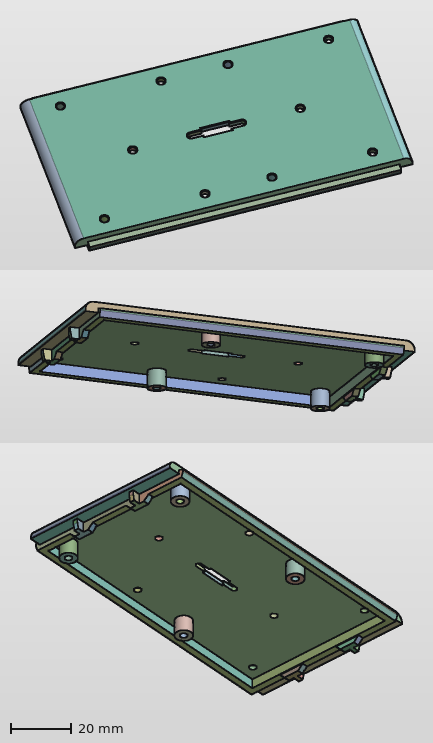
import cadquery as cq

length = 117.2
rail_width = 64.7
total_height = 8.0

plate_top_width = 60.5
plate_bottom_width = 61.2
plate_thickness = 3.7
end_radius = 3.0

rail_length = 108.1
rail_bottom_width = 63.3
rail_shoulder_depth = 2.1
rail_edge_top_depth = 2.7
rail_edge_bottom_depth = 3.4
rail_bottom_depth = 5.6

hump_spacing = 24.5
hump_top_width = 10.0
hump_bottom_width = 5.9
hump_thickness = 2.2
hump_depth = 7.6
tab_width = 1.8
tab_reach = 3.0
tab_tip_reach = 2.6
tab_taper_depth = 5.3

roof_thickness = 2.0
wall_thickness = 2.6

hole_column_x = 24.5
inner_hole_y = 11.6
center_hole_y = 29.0
outer_hole_y = 46.5
hole_diameter = 2.6
boss_diameter = 6.2

slot_length = 19.9
slot_width = 2.1
window_length = 9.6
window_width = 3.5

mouth_chamfer = 0.29


def make_plate():
    half_length = length / 2
    flat_half = half_length - end_radius
    diagonal = end_radius * 0.5 ** 0.5
    end_profile = (
        cq.Workplane("YZ")
        .moveTo(-half_length, -plate_thickness)
        .lineTo(-half_length, -end_radius)
        .threePointArc((-flat_half - diagonal, diagonal - end_radius), (-flat_half, 0))
        .lineTo(flat_half, 0)
        .threePointArc((flat_half + diagonal, diagonal - end_radius), (half_length, -end_radius))
        .lineTo(half_length, -plate_thickness)
        .close()
        .extrude(plate_bottom_width / 2, both=True)
    )
    drafted_sides = (
        cq.Workplane("XZ")
        .polyline([
            (-plate_bottom_width / 2, -plate_thickness),
            (-plate_top_width / 2, 0),
            (plate_top_width / 2, 0),
            (plate_bottom_width / 2, -plate_thickness),
        ])
        .close()
        .extrude(half_length, both=True)
    )
    return end_profile.intersect(drafted_sides)


def make_rail_body():
    right_side = [
        (plate_top_width / 2, -rail_shoulder_depth),
        (rail_width / 2, -rail_edge_top_depth),
        (rail_width / 2, -rail_edge_bottom_depth),
        (rail_bottom_width / 2, -rail_bottom_depth),
    ]
    left_side = [(-x, z) for x, z in reversed(right_side)]
    return (
        cq.Workplane("XZ")
        .polyline(right_side + left_side)
        .close()
        .extrude(rail_length / 2, both=True)
    )


def make_latch(x):
    """Hump and latch tab at the -Y end, centred on x."""
    end_y = -rail_length / 2
    hump = (
        cq.Workplane("XZ", origin=(x, end_y, 0))
        .polyline([
            (-hump_top_width / 2, -rail_bottom_depth),
            (hump_top_width / 2, -rail_bottom_depth),
            (hump_bottom_width / 2, -hump_depth),
            (-hump_bottom_width / 2, -hump_depth),
        ])
        .close()
        .extrude(-hump_thickness)
    )
    tab = (
        cq.Workplane("YZ", origin=(x, end_y, 0))
        .polyline([
            (0, -plate_thickness),
            (-tab_reach, -plate_thickness),
            (-tab_reach, -tab_taper_depth),
            (-tab_tip_reach, -hump_depth),
            (0, -hump_depth),
        ])
        .close()
        .extrude(tab_width / 2, both=True)
    )
    return hump.union(tab)


def make_recess_cutter():
    depth = rail_bottom_depth - roof_thickness
    return (
        cq.Workplane("XY", origin=(0, 0, -rail_bottom_depth))
        .rect(rail_bottom_width - 2 * wall_thickness, rail_length - 2 * wall_thickness)
        .extrude(depth)
    )


def make_bosses():
    centers = [(x, y) for x in (-hole_column_x, hole_column_x) for y in (inner_hole_y, -outer_hole_y)]
    return (
        cq.Workplane("XY", origin=(0, 0, -total_height))
        .pushPoints(centers)
        .circle(boss_diameter / 2)
        .extrude(total_height - roof_thickness)
    )


def make_hole_cutter():
    centers = [(0, -center_hole_y), (0, center_hole_y)]
    for x in (-hole_column_x, hole_column_x):
        for y in (inner_hole_y, outer_hole_y):
            centers += [(x, -y), (x, y)]
    return cq.Workplane("XY").pushPoints(centers).circle(hole_diameter / 2).extrude(-total_height)


def make_slot_cutter():
    slot = cq.Workplane("XY").slot2D(slot_length, slot_width, 90).extrude(-total_height)
    window = cq.Workplane("XY").rect(window_width, window_length).extrude(-total_height)
    return slot.union(window)


def chamfer_openings(part):
    """Chamfer the top edges of the holes and slot, leaving the outline of the top face sharp."""
    half_x = hole_column_x + hole_diameter
    half_y = outer_hole_y + hole_diameter
    openings = cq.selectors.BoxSelector((-half_x, -half_y, -mouth_chamfer), (half_x, half_y, mouth_chamfer))
    return part.faces(">Z").edges(openings).chamfer(mouth_chamfer)


result = make_plate().union(make_rail_body())
for hump_x in (-hump_spacing / 2, hump_spacing / 2):
    latch = make_latch(hump_x)
    result = result.union(latch).union(latch.mirror("XZ"))
result = result.cut(make_recess_cutter()).union(make_bosses())
result = result.cut(make_hole_cutter()).cut(make_slot_cutter())
result = chamfer_openings(result)